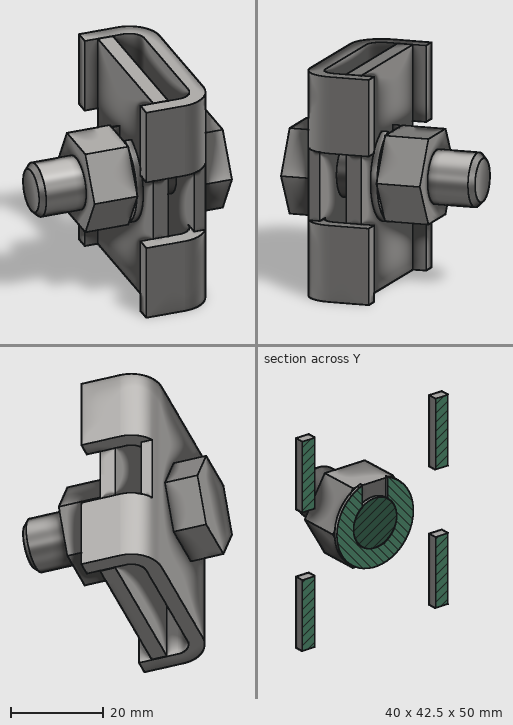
import cadquery as cq
import math

height = 50.0
channel_width = 40.0
channel_depth = 16.0
wall = 3.5
bend_outer_radius = 7.0
bend_inner_radius = bend_outer_radius - wall
inner_width = channel_width - 2 * wall
window_height = 16.0

plate_width = 32.7
plate_thickness = 3.5
plate_back = 9.5
plate_front = plate_back + plate_thickness

bolt_diameter = 12.0
across_flats = 19.0
across_corners = across_flats / math.cos(math.pi / 6)
head_thickness = 7.5
bolt_reach = 35.0
tip_chamfer = 1.2
washer_diameter = 21.1
washer_thickness = 1.5
washer_gap = 6.9
washer_front = plate_front + washer_thickness
nut_thickness = 10.0


def workplane_at(depth):
    """Plane normal to -Y, set the given depth in front of the web back."""
    return cq.Workplane("XZ", origin=(0, -depth, 0))


def block(width, back, front, block_height):
    """Box centred on X and Z, between two depths."""
    return workplane_at(back).rect(width, block_height).extrude(front - back)


def hexagon(back, thickness):
    """Hexagonal prism with two corners on the X axis."""
    return workplane_at(back).polygon(6, across_corners).extrude(thickness)


def cylinder(diameter, back, front):
    return workplane_at(back).circle(diameter / 2).extrude(front - back)


def bolt_hole():
    return cylinder(bolt_diameter, 0, bolt_reach)


def bent_profile(width, back, radius):
    """Solid U outline, rounded at both rear corners, open end at the flange tips."""
    return (
        block(width, back, channel_depth, height)
        .edges("|Z and >Y")
        .fillet(radius)
    )


def make_channel():
    outer = bent_profile(channel_width, 0, bend_outer_radius)
    inner = bent_profile(inner_width, wall, bend_inner_radius)
    web_strip = block(inner_width, 0, wall, window_height)
    windows = block(channel_width, 0, channel_depth, window_height).cut(web_strip)
    return outer.cut(inner).cut(windows).cut(bolt_hole())


def make_plate():
    return block(plate_width, plate_back, plate_front, height).cut(bolt_hole())


def make_bolt():
    shank = cylinder(bolt_diameter, 0, bolt_reach).faces("<Y").chamfer(tip_chamfer)
    return hexagon(-head_thickness, head_thickness).union(shank)


def make_washer():
    ring = cylinder(washer_diameter, plate_front, washer_front).cut(bolt_hole())
    split_height = washer_diameter / 2
    split = block(washer_gap, plate_front, washer_front, split_height).translate((0, 0, split_height / 2))
    return ring.cut(split)


def make_nut():
    return hexagon(washer_front, nut_thickness).cut(bolt_hole())


channel = make_channel()
plate = make_plate()
bolt = make_bolt()
washer = make_washer()
nut = make_nut()

result = cq.Compound.makeCompound([
    channel.val(),
    plate.val(),
    bolt.val(),
    washer.val(),
    nut.val(),
])